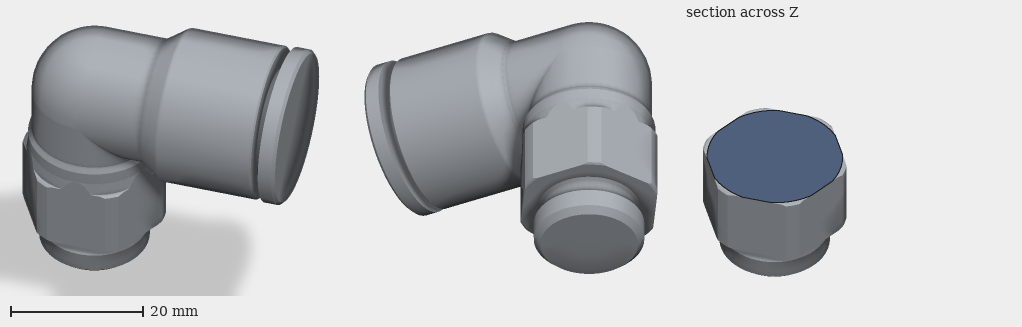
import cadquery as cq
import math


elbow_radius = 9.52

sleeve_radius = 11.85
sleeve_cone_start = 9.75
sleeve_cone_end = 13.05
sleeve_end = 27.93
sleeve_blend = 1.0
sleeve_end_chamfer = 0.25

stem_radius = 8.55
button_start = 29.3
button_end = 31.87
button_width = 25.0
button_height = 23.12
button_chamfer = 0.47

hex_sides = 6
across_flats = 20.08
hex_corner_radius = 11.03
hex_chamfer_radial = 0.3
hex_chamfer_height = 0.2
nut_shoulder_z = -12.4
nut_bottom_z = -23.45

collar_radius = across_flats / 2
collar_chamfer_top_z = -7.5
collar_top_z = -8.45
collar_bottom_z = -10.4
collar_skirt_radius = 10.3

neck_radius = 7.42
neck_flare = 0.3
neck_flare_bottom_z = -23.95
neck_bottom_z = -25.83
plug_radius = 8.35
plug_top_z = -26.45
plug_bottom_z = -30.37
plug_chamfer = 1.0


def revolve_z(points):
    """Solid of revolution about Z from (radius, z) points."""
    profile = cq.Workplane("XZ").polyline(points).close()
    return profile.revolve(360, (0, 0, 0), (0, 1, 0))


def disc_x(radius, start, end):
    """Cylinder about X between two X positions."""
    return cq.Workplane("YZ", origin=(start, 0, 0)).circle(radius).extrude(end - start)


def make_elbow():
    """Two equal cylinders meeting at a mitre, with a spherical outer corner."""
    corner = cq.Workplane("XY").sphere(elbow_radius)
    down_leg = cq.Workplane("XY").circle(elbow_radius).extrude(collar_bottom_z)
    side_leg = disc_x(elbow_radius, 0, sleeve_cone_start)
    return side_leg.union(down_leg).union(corner)


def make_sleeve():
    """Sleeve that widens from the elbow through a cone with blended ends."""
    rise = sleeve_radius - elbow_radius
    cone_angle = math.atan2(rise, sleeve_cone_end - sleeve_cone_start)
    mid_angle = cone_angle / 2
    tangent = sleeve_blend * math.tan(mid_angle)
    along = tangent * math.cos(cone_angle)
    across = tangent * math.sin(cone_angle)
    sag_along = sleeve_blend * math.sin(mid_angle)
    sag_across = sleeve_blend * (1 - math.cos(mid_angle))
    inner_start = sleeve_cone_start - tangent
    outer_end = sleeve_cone_end + tangent

    profile = (
        cq.Workplane("XY")
        .moveTo(0, 0)
        .lineTo(0, elbow_radius)
        .lineTo(inner_start, elbow_radius)
        .threePointArc(
            (inner_start + sag_along, elbow_radius + sag_across),
            (sleeve_cone_start + along, elbow_radius + across),
        )
        .lineTo(sleeve_cone_end - along, sleeve_radius - across)
        .threePointArc(
            (outer_end - sag_along, sleeve_radius - sag_across),
            (outer_end, sleeve_radius),
        )
        .lineTo(sleeve_end - sleeve_end_chamfer, sleeve_radius)
        .lineTo(sleeve_end, sleeve_radius - sleeve_end_chamfer)
        .lineTo(sleeve_end, 0)
        .close()
    )
    return profile.revolve(360, (0, 0, 0), (1, 0, 0))


def make_button():
    """Oval release button on its round stem."""
    stem = disc_x(stem_radius, sleeve_end, button_start)
    button = (
        cq.Workplane("YZ", origin=(button_start, 0, 0))
        .ellipse(button_width / 2, button_height / 2)
        .extrude(button_end - button_start)
        .faces(">X")
        .chamfer(button_chamfer)
    )
    return stem.union(button)


def make_collar():
    """Round collar between the elbow and the nut."""
    return revolve_z([
        (0, collar_chamfer_top_z),
        (elbow_radius, collar_chamfer_top_z),
        (collar_radius, collar_top_z),
        (collar_radius, collar_bottom_z),
        (0, collar_bottom_z),
    ])


def make_nut():
    """Hexagon with turned corners; its flats rise as scallops into a conical skirt."""
    turned = revolve_z([
        (0, collar_bottom_z),
        (collar_radius, collar_bottom_z),
        (collar_skirt_radius, nut_shoulder_z),
        (hex_corner_radius - hex_chamfer_radial, nut_shoulder_z),
        (hex_corner_radius, nut_shoulder_z - hex_chamfer_height),
        (hex_corner_radius, nut_bottom_z + hex_chamfer_height),
        (hex_corner_radius - hex_chamfer_radial, nut_bottom_z),
        (0, nut_bottom_z),
    ])
    across_corners = across_flats / math.cos(math.pi / hex_sides)
    hexagon = (
        cq.Workplane("XY", origin=(0, 0, nut_bottom_z))
        .polygon(hex_sides, across_corners)
        .extrude(collar_bottom_z - nut_bottom_z)
    )
    return turned.intersect(hexagon)


def make_plug():
    """Necked plug with a chamfered lower end."""
    return revolve_z([
        (0, nut_bottom_z),
        (neck_radius + neck_flare, nut_bottom_z),
        (neck_radius, neck_flare_bottom_z),
        (neck_radius, neck_bottom_z),
        (plug_radius, plug_top_z),
        (plug_radius, plug_bottom_z + plug_chamfer),
        (plug_radius - plug_chamfer, plug_bottom_z),
        (0, plug_bottom_z),
    ])


result = (
    make_elbow()
    .union(make_sleeve())
    .union(make_button())
    .union(make_collar())
    .union(make_nut())
    .union(make_plug())
)